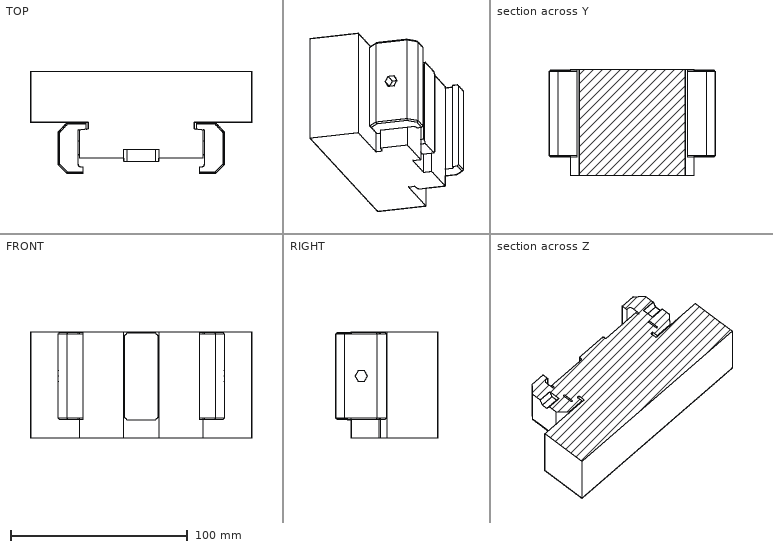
import cadquery as cq
import math

block_width = 125.0
block_depth = 28.75
block_height = 60.0

neck_half_width = 30.0
tongue_half_width = 35.0
tongue_front = -49.0
shoulder_inner_y = -32.45
shoulder_angle = 7.0
shoulder_slope = math.tan(math.radians(shoulder_angle))
shoulder_outer_y = shoulder_inner_y - (tongue_half_width - neck_half_width) * shoulder_slope

key_width = 20.0
key_back = -44.2
key_front = -51.0
key_length = 49.0
key_bottom = 10.25
key_corner_chamfer = 2.0
key_side_chamfer = 0.5

jaw_outer_x = 47.0
jaw_inner_x = 35.6
jaw_hook_tip_x = 31.1
jaw_lip_tip_x = 32.8
jaw_back = -28.95
jaw_front = -57.64
jaw_lip_thickness = 3.7
jaw_corner_chamfer = 5.0
jaw_back_chamfer_depth = 5.35
jaw_end_chamfer = 0.8
jaw_root_fillet = 1.5
jaw_bottom = 10.5
jaw_top = 59.5

screw_diameter = 8.0
screw_y = -43.2
screw_z = (jaw_bottom + jaw_top) / 2
socket_across_flats = 6.0
socket_sides = 6
socket_depth = 8.0


def shoulder_y(x):
    """Y of the sloping contact face between tongue and jaw at a distance x from the middle."""
    return shoulder_inner_y - (x - neck_half_width) * shoulder_slope


def make_body():
    """Block with its undercut tongue and the full-height key slot."""
    right_half = [
        (0, 0),
        (block_width / 2, 0),
        (block_width / 2, -block_depth),
        (neck_half_width, -block_depth),
        (neck_half_width, shoulder_inner_y),
        (tongue_half_width, shoulder_outer_y),
        (tongue_half_width, tongue_front),
        (key_width / 2, tongue_front),
        (key_width / 2, key_back),
        (0, key_back),
    ]
    left_half = [(-x, y) for x, y in reversed(right_half[1:-1])]
    return cq.Workplane("XY").polyline(right_half + left_half).close().extrude(block_height)


def make_key():
    """Flat key with cut corners and chamfers along the two long edges of its front face."""
    key = cq.Workplane("XY").box(
        key_width, key_back - key_front, key_length, centered=(True, False, False)
    )
    key = key.translate((0, key_front, key_bottom))
    key = key.edges("|Y").chamfer(key_corner_chamfer)
    return key.faces("<Y").edges("|Z").chamfer(key_side_chamfer)


def make_right_jaw():
    """Hooked jaw on the +X side with its clamping screw and hexagon socket."""
    lip_back = jaw_front + jaw_lip_thickness
    outline = [
        (jaw_hook_tip_x, jaw_back),
        (jaw_outer_x - jaw_corner_chamfer, jaw_back),
        (jaw_outer_x, jaw_back - jaw_back_chamfer_depth),
        (jaw_outer_x, jaw_front + jaw_corner_chamfer),
        (jaw_outer_x - jaw_corner_chamfer, jaw_front),
        (jaw_lip_tip_x, jaw_front),
        (jaw_lip_tip_x, lip_back),
        (jaw_inner_x, lip_back),
        (jaw_inner_x, shoulder_y(jaw_inner_x)),
        (jaw_hook_tip_x, shoulder_y(jaw_hook_tip_x)),
    ]
    jaw = cq.Workplane("XY", origin=(0, 0, jaw_bottom)).polyline(outline).close()
    jaw = jaw.extrude(jaw_top - jaw_bottom)
    jaw = jaw.edges(cq.selectors.NearestToPointSelector((jaw_inner_x, lip_back, screw_z)))
    jaw = jaw.fillet(jaw_root_fillet)

    middle_y = (jaw_back + jaw_front) / 2
    corner_x = jaw_outer_x - jaw_corner_chamfer / 2
    hook_middle_x = (jaw_hook_tip_x + jaw_outer_x - jaw_corner_chamfer) / 2
    lip_middle_x = (jaw_lip_tip_x + jaw_outer_x - jaw_corner_chamfer) / 2
    outer_edge_middles = [
        (hook_middle_x, jaw_back),
        (corner_x, jaw_back - jaw_back_chamfer_depth / 2),
        (jaw_outer_x, middle_y),
        (corner_x, jaw_front + jaw_corner_chamfer / 2),
        (lip_middle_x, jaw_front),
    ]
    outer_edges = jaw.newObject([])
    for x, y in outer_edge_middles:
        for z in (jaw_bottom, jaw_top):
            outer_edges = outer_edges.add(jaw.edges(cq.selectors.NearestToPointSelector((x, y, z))))
    jaw = outer_edges.chamfer(jaw_end_chamfer)

    screw_plane = cq.Workplane("YZ", origin=(tongue_half_width, screw_y, screw_z))
    jaw = jaw.union(screw_plane.circle(screw_diameter / 2).extrude(jaw_inner_x - tongue_half_width))
    socket_plane = cq.Workplane("YZ", origin=(jaw_outer_x, screw_y, screw_z))
    across_corners = socket_across_flats / math.cos(math.pi / socket_sides)
    return jaw.cut(socket_plane.polygon(socket_sides, across_corners).extrude(-socket_depth))


right_jaw = make_right_jaw()
left_jaw = right_jaw.mirror("YZ")
result = make_body().union(make_key()).union(right_jaw).union(left_jaw)